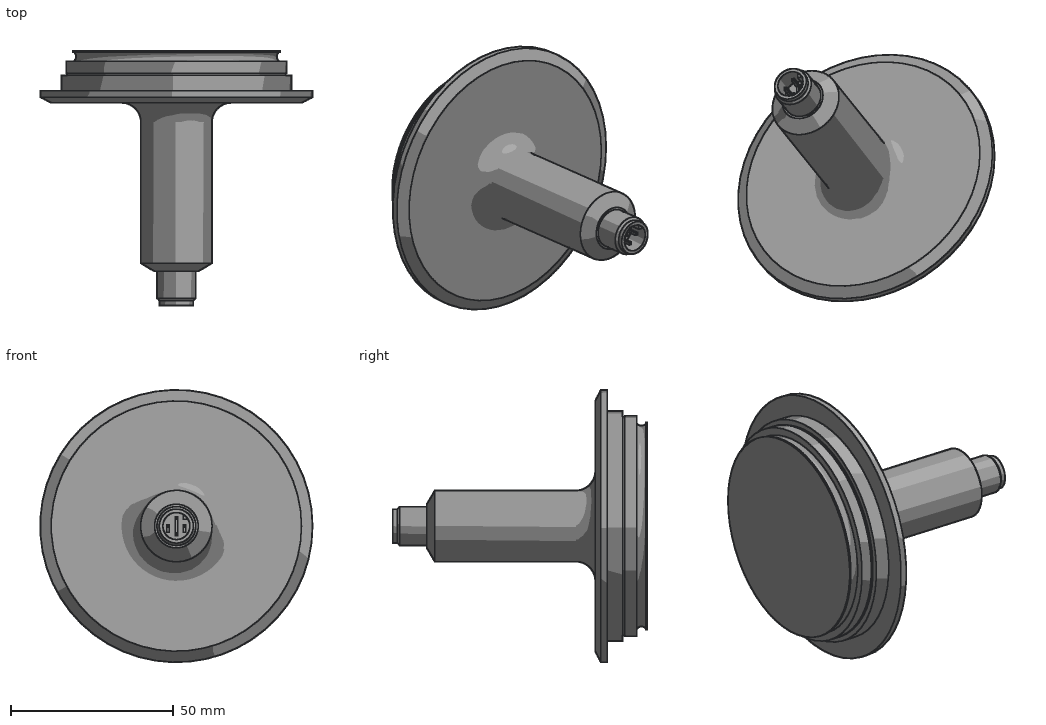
import cadquery as cq

total_depth = 78.5

lip_radius = 64.0 / 2
lip_depth = 0.5
groove_start_radius = 31.6
groove_floor_radius = 31.0
groove_end_radius = 31.7
rear_ring_radius = 68 / 2
rear_ring_back_depth = 3.3
rear_ring_front_depth = 7.0
neck_radius = 33.8
seat_ring_radius = 71.0 / 2
seat_ring_back_depth = 7.65
disc_radius = 84 / 2
disc_back_depth = 12.35
disc_edge_depth = 14.4
disc_face_depth = 16.1
disc_face_radius = 38.55

stem_radius = 22.0 / 2
stem_fillet = 5.9
stem_taper_depth = 65.5
stem_end_depth = 68
stem_end_radius = 6.7

plug_radius = 12.0 / 2
plug_nose_radius = 10.5 / 2
plug_bevel = plug_radius - plug_nose_radius
plug_nose_depth = 77.0

socket_radius = 8.3 / 2
socket_length = 6.7
contact_width = 0.8
contact_offset = 2.5
pin_recess = 1.85
pin_tip_chamfer = 0.3
key_recess = 0.7
bar_height = 0.4
side_bar_drop = 1.9
key_inset = contact_offset - contact_width / 2


def turned_body():
    groove_middle_depth = (lip_depth + rear_ring_back_depth) / 2
    fillet_end_depth = disc_face_depth + stem_fillet
    profile = (
        cq.Workplane("XY")
        .moveTo(0, 0)
        .lineTo(lip_radius, 0)
        .lineTo(lip_radius, -lip_depth)
        .lineTo(groove_start_radius, -lip_depth)
        .threePointArc(
            (groove_floor_radius, -groove_middle_depth),
            (groove_end_radius, -rear_ring_back_depth),
        )
        .lineTo(rear_ring_radius, -rear_ring_back_depth)
        .lineTo(rear_ring_radius, -rear_ring_front_depth)
        .lineTo(neck_radius, -rear_ring_front_depth)
        .lineTo(neck_radius, -seat_ring_back_depth)
        .lineTo(seat_ring_radius, -seat_ring_back_depth)
        .lineTo(seat_ring_radius, -disc_back_depth)
        .lineTo(disc_radius, -disc_back_depth)
        .lineTo(disc_radius, -disc_edge_depth)
        .lineTo(disc_face_radius, -disc_face_depth)
        .lineTo(stem_radius + stem_fillet, -disc_face_depth)
        .radiusArc((stem_radius, -fillet_end_depth), -stem_fillet)
        .lineTo(stem_radius, -stem_taper_depth)
        .lineTo(stem_end_radius, -stem_end_depth)
        .lineTo(plug_radius, -stem_end_depth)
        .lineTo(plug_radius, plug_bevel - plug_nose_depth)
        .lineTo(plug_nose_radius, -plug_nose_depth)
        .lineTo(plug_nose_radius, -total_depth)
        .lineTo(0, -total_depth)
        .close()
    )
    return profile.revolve(360, (0, 0, 0), (0, 1, 0))


def socket_space():
    return (
        cq.Workplane("XZ", origin=(0, -total_depth, 0))
        .circle(socket_radius)
        .extrude(-socket_length)
    )


def post(x_center, z_center, height_z, length):
    """Rectangular post of contact width standing on the socket floor."""
    return (
        cq.Workplane("XZ", origin=(0, socket_length - total_depth, 0))
        .center(x_center, z_center)
        .rect(contact_width, height_z)
        .extrude(length)
    )


def pin(x_center, z_center):
    blank = post(x_center, z_center, contact_width, socket_length - pin_recess)
    return blank.faces("<Y").chamfer(pin_tip_chamfer)


def contacts():
    center_bar_height = 2 * contact_offset + contact_width
    side_bar_top = contact_width / 2
    side_bar_height = side_bar_top + side_bar_drop
    side_bar_middle = side_bar_top - side_bar_height / 2
    parts = post(0, 0, center_bar_height, bar_height)
    for offset in (-contact_offset, contact_offset):
        parts = parts.union(post(offset, side_bar_middle, side_bar_height, bar_height))
        parts = parts.union(pin(offset, 0))
        parts = parts.union(pin(0, offset))
    return parts


def coding_key():
    """Corner of the socket left solid in the +X, +Z quadrant, set back from the mouth."""
    corner = (
        cq.Workplane("XZ", origin=(0, key_recess - total_depth, 0))
        .center(key_inset, key_inset)
        .rect(socket_radius, socket_radius, centered=False)
        .extrude(key_recess - socket_length)
    )
    return corner.intersect(socket_space())


result = turned_body().cut(socket_space().cut(coding_key())).union(contacts())